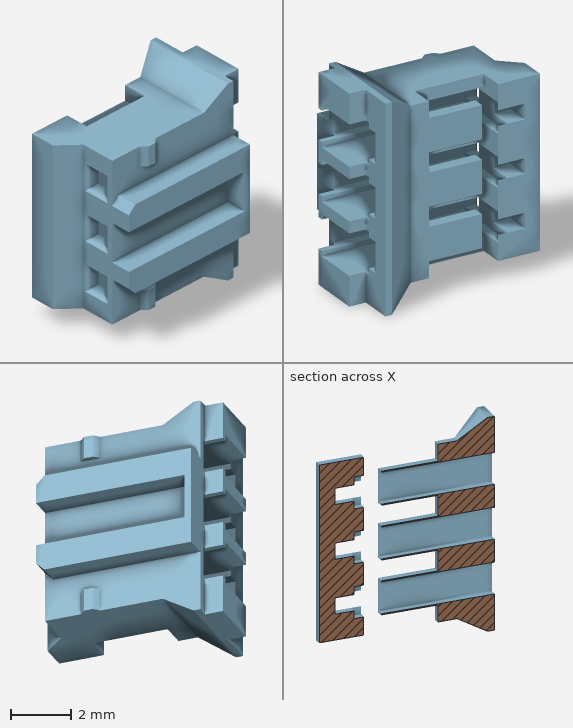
import cadquery as cq

pitch = 2.0
cavity_count = 3
total_height = 7.8
total_depth = 7.0
total_width = 4.5

flare = 0.655
body_height = total_height - 2 * flare
body_width = 3.05
body_left = flare
body_right = body_left + body_width
flare_start = 5.0
flare_end = 6.11
flange_back = 6.36

front_face = 0.765
foot_flat_right = 1.65
foot_slope_right = 2.325

tab_left = 1.29
tab_width = 2.005

channel_height = 1.15
channel_front = 1.27
channel_right = 3.455
chamber_height = 1.55
chamber_left = 1.09
chamber_right = 3.07
web = 0.004

window_front = 1.62
window_back = 4.3
window_right = 1.59
arm_height = 1.255
arm_tip = 2.25
notch_front = 0.585
notch_height = 0.58

pin_center_x = 2.95
pin_width = 1.08
pin_chamfer = 0.1

rail_inner = 0.79
rail_outer = 1.755
rail_chamfer = 0.3

bump_height = 0.2
bump_length = 0.795
bump_front = 2.04
bump_back = 2.77

cavity_levels = [(i - (cavity_count - 1) / 2) * pitch for i in range(cavity_count)]


def block(x_range, y_range, z_range):
    """Axis-aligned box between the given limits."""
    spans = [high - low for low, high in (x_range, y_range, z_range)]
    corner = (x_range[0], y_range[0], z_range[0])
    return cq.Workplane("XY").box(*spans, centered=False).translate(corner)


def prism(outline, z_low, z_high):
    """Outline in the XY plane extruded between two levels."""
    return cq.Workplane("XY").workplane(offset=z_low).polyline(outline).close().extrude(z_high - z_low)


def centered_range(middle, length):
    return (middle - length / 2, middle + length / 2)


def make_body():
    outline = [
        (body_left, 0),
        (foot_flat_right, 0),
        (foot_slope_right, front_face),
        (body_right, front_face),
        (body_right, flange_back),
        (body_left, flange_back),
    ]
    return prism(outline, -body_height / 2, body_height / 2)


def make_flange():
    """Plate overhanging to the left, top and bottom, flared from the body."""
    side_outline = [
        (body_left, flare_start),
        (0, flare_end),
        (0, flange_back),
        (body_right, flange_back),
        (body_right, flare_start),
    ]
    side_flare = prism(side_outline, -total_height / 2, total_height / 2)
    end_outline = [
        (flare_start, -body_height / 2),
        (flare_end, -total_height / 2),
        (flange_back, -total_height / 2),
        (flange_back, total_height / 2),
        (flare_end, total_height / 2),
        (flare_start, body_height / 2),
    ]
    end_flare = cq.Workplane("YZ").polyline(end_outline).close().extrude(body_right)
    return side_flare.intersect(end_flare)


def make_rear_tabs():
    """Full-height rear block; the cavities divide it into separate tabs."""
    return block(
        (tab_left, tab_left + tab_width),
        (flange_back, total_depth),
        (-total_height / 2, total_height / 2),
    )


def make_rails():
    """Two guide rails, chamfered on the outer front edge, joined by a rear plate."""
    rail_outline = [
        (front_face, rail_inner),
        (front_face, rail_outer - rail_chamfer),
        (front_face + rail_chamfer, rail_outer),
        (flange_back, rail_outer),
        (flange_back, rail_inner),
    ]
    upper_rail = (
        cq.Workplane("YZ").workplane(offset=body_right)
        .polyline(rail_outline).close().extrude(total_width - body_right)
    )
    plate = block((body_right, total_width), (flare_end, flange_back), (-rail_inner, rail_inner))
    return upper_rail.union(upper_rail.mirror("XY")).union(plate)


def make_bumps():
    outline = [
        (body_right, bump_front),
        (body_right + bump_height, bump_front + bump_height),
        (body_right + bump_height, bump_back - bump_height),
        (body_right, bump_back),
    ]
    upper_bump = prism(outline, body_height / 2 - bump_length, body_height / 2)
    return upper_bump.union(upper_bump.mirror("XY"))


def make_latch_window():
    """Opening in the left wall over the whole height, leaving the latch arms."""
    window = block(
        (body_left, window_right),
        (window_front, window_back),
        (-body_height / 2, body_height / 2),
    )
    for level in cavity_levels:
        arm = block((body_left, chamber_left), (arm_tip, window_back), centered_range(level, arm_height))
        window = window.cut(arm)
    return window


def make_pin_opening(level):
    """Square opening with a chamfered mouth, from the front face into the channel."""
    inner_width = pin_width - 2 * pin_chamfer
    mouth = (
        cq.Workplane("XZ", origin=(pin_center_x, front_face, level))
        .rect(pin_width, pin_width)
        .workplane(offset=-pin_chamfer).rect(inner_width, inner_width)
        .loft(ruled=True)
    )
    bore = block(
        centered_range(pin_center_x, inner_width),
        (front_face, channel_front),
        centered_range(level, inner_width),
    )
    return mouth.union(bore)


def make_cavity(level):
    """Everything removed for one terminal."""
    channel = block(
        (body_left + web, channel_right),
        (channel_front, total_depth),
        centered_range(level, channel_height),
    )
    chamber = block(
        (chamber_left, chamber_right),
        (window_front, total_depth),
        centered_range(level, chamber_height),
    )
    notch = block(
        (body_left, window_right),
        (notch_front, window_front),
        centered_range(level, notch_height),
    )
    return channel.union(chamber).union(notch).union(make_pin_opening(level))


result = make_body().union(make_flange()).union(make_rear_tabs())
result = result.union(make_rails()).union(make_bumps())
result = result.cut(make_latch_window())
for cavity_level in cavity_levels:
    result = result.cut(make_cavity(cavity_level))